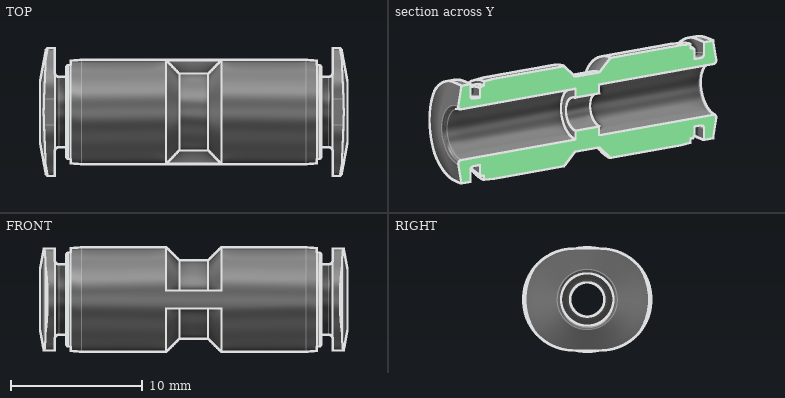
import cadquery as cq

TOTAL_LENGTH = 23.5
HALF_LENGTH = TOTAL_LENGTH / 2

BODY_RADIUS = 8.0 / 2
BODY_INSET = 2.35
BODY_TAPER_LENGTH = 0.85
BODY_END_RADIUS = 3.93
STRAIGHT_HALF_LENGTH = HALF_LENGTH - BODY_INSET - BODY_TAPER_LENGTH

RING_RADIUS = 7.2 / 2
RING_INSET = 2.0
RING_CHAMFER = 0.15

NECK_RADIUS = 5.4 / 2
NECK_FILLET = 0.3
FLANGE_LENGTH = 9.8
FLANGE_HEIGHT = 7.8
FLANGE_INSET = 1.15
FACE_INNER_RADIUS = 2.3
FACE_OUTER_RADIUS = 4.72
FACE_DROP = 0.45
RIM_DROP = 0.6

WAIST_RADIUS = 3.0
WAIST_FLOOR_LENGTH = 2.2
WAIST_DEPTH = BODY_RADIUS - WAIST_RADIUS
WEB_THICKNESS = 1.35

TUBE_RADIUS = 4.0 / 2
MOUTH_FILLET = FACE_INNER_RADIUS - TUBE_RADIUS
THROUGH_RADIUS = 2.6 / 2
STOP_LENGTH = WAIST_FLOOR_LENGTH


def revolve_about_x(profile):
    """Turn a closed (x, radius) profile into a solid of revolution about X."""
    return profile.close().revolve(360, (0, 0, 0), (1, 0, 0))


def cylinder_along_x(radius, start, end):
    return cq.Workplane("YZ").workplane(offset=start).circle(radius).extrude(end - start)


def make_body_end():
    """Tapered body end, ring and neck of the +X half, up to the back of the flange."""
    body_end = HALF_LENGTH - BODY_INSET
    ring_end = HALF_LENGTH - RING_INSET
    flange_back = HALF_LENGTH - FLANGE_INSET
    profile = (
        cq.Workplane("XY")
        .moveTo(STRAIGHT_HALF_LENGTH, 0)
        .lineTo(STRAIGHT_HALF_LENGTH, BODY_RADIUS)
        .lineTo(body_end, BODY_END_RADIUS)
        .lineTo(body_end, RING_RADIUS)
        .lineTo(ring_end - RING_CHAMFER, RING_RADIUS)
        .lineTo(ring_end, RING_RADIUS - RING_CHAMFER)
        .lineTo(ring_end, NECK_RADIUS)
        .lineTo(flange_back - NECK_FILLET, NECK_RADIUS)
        .radiusArc((flange_back, NECK_RADIUS + NECK_FILLET), -NECK_FILLET)
        .lineTo(flange_back, 0)
    )
    return revolve_about_x(profile)


def make_flange():
    """Oblong +X flange, trimmed by a turned blank that gives the conical face."""
    flange_back = HALF_LENGTH - FLANGE_INSET
    blank_profile = (
        cq.Workplane("XY")
        .moveTo(flange_back, 0)
        .lineTo(flange_back, FLANGE_LENGTH / 2)
        .lineTo(HALF_LENGTH - RIM_DROP, FLANGE_LENGTH / 2)
        .lineTo(HALF_LENGTH - FACE_DROP, FACE_OUTER_RADIUS)
        .lineTo(HALF_LENGTH, FACE_INNER_RADIUS)
        .lineTo(HALF_LENGTH, 0)
    )
    oblong = (
        cq.Workplane("YZ")
        .workplane(offset=flange_back)
        .slot2D(FLANGE_LENGTH, FLANGE_HEIGHT)
        .extrude(FLANGE_INSET)
    )
    return revolve_about_x(blank_profile).intersect(oblong)


def make_tube_bore():
    """Blind tube bore of the +X end, with a rounded mouth."""
    profile = (
        cq.Workplane("XY")
        .moveTo(STOP_LENGTH / 2, 0)
        .lineTo(STOP_LENGTH / 2, TUBE_RADIUS)
        .lineTo(HALF_LENGTH - MOUTH_FILLET, TUBE_RADIUS)
        .radiusArc((HALF_LENGTH, FACE_INNER_RADIUS), -MOUTH_FILLET)
        .lineTo(HALF_LENGTH, 0)
    )
    return revolve_about_x(profile)


def make_waist_cut():
    """Groove with sloped sides, leaving out the web on each Y side."""
    floor_half = WAIST_FLOOR_LENGTH / 2
    mouth_half = floor_half + WAIST_DEPTH
    profile = (
        cq.Workplane("XY")
        .moveTo(-floor_half, WAIST_RADIUS)
        .lineTo(-mouth_half, BODY_RADIUS)
        .lineTo(mouth_half, BODY_RADIUS)
        .lineTo(floor_half, WAIST_RADIUS)
    )
    web = cq.Workplane("XY").box(2 * mouth_half, 2 * BODY_RADIUS, WEB_THICKNESS)
    return revolve_about_x(profile).cut(web)


connector = cylinder_along_x(BODY_RADIUS, -STRAIGHT_HALF_LENGTH, STRAIGHT_HALF_LENGTH)
connector = connector.cut(make_waist_cut())

end_addition = make_body_end().union(make_flange())
connector = connector.union(end_addition).union(end_addition.mirror("YZ"))

tube_bore = make_tube_bore()
connector = connector.cut(tube_bore).cut(tube_bore.mirror("YZ"))

result = connector.cut(cylinder_along_x(THROUGH_RADIUS, -HALF_LENGTH, HALF_LENGTH))